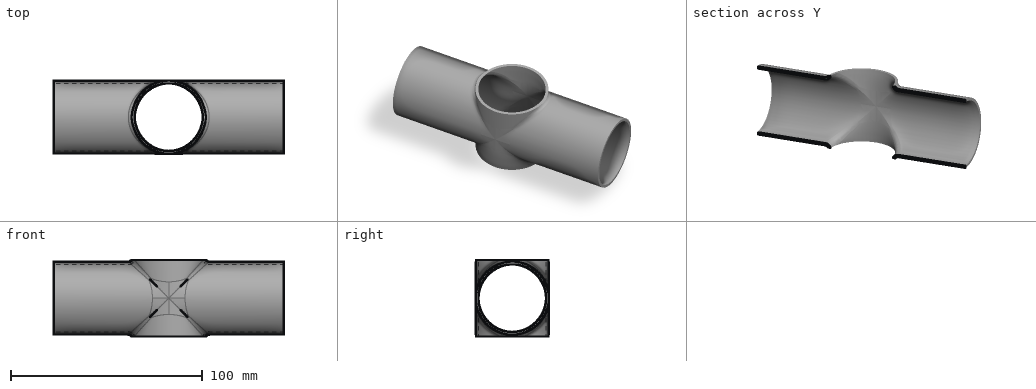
import math

import cadquery as cq

RUN_LENGTH = 120.0
BRANCH_LENGTH = 40.0
OUTER_DIAMETER = 38.1
BORE_DIAMETER = 35.1
OUTER_FILLET = 2.0
BULGE_HEIGHT = 0.115
PATCH_HALF_WIDTH = 8.5
PATCH_CORNER = 10.25

WALL = (OUTER_DIAMETER - BORE_DIAMETER) / 2
BORE_FILLET = OUTER_FILLET + WALL
FILLET_RUN_IN = 0.9
PATCH_DEPTH = 6.0
BLANK_LENGTH = 60.0


def plain_cross(radius):
    """Two solid cylinders of equal radius crossing at the origin, along X and Z."""
    run = cq.Workplane("YZ").circle(radius).extrude(RUN_LENGTH / 2, both=True)
    branch = cq.Workplane("XY").circle(radius).extrude(BLANK_LENGTH / 2, both=True)
    return run.union(branch)


def corner_ball(radius, fillet):
    """Centre of the fillet's rolling ball at a corner of the side patch."""
    height = math.sqrt((radius + fillet) ** 2 - PATCH_CORNER**2)
    return cq.Vector(PATCH_CORNER, height, PATCH_CORNER)


def filleted_cross(radius, fillet):
    """The crossing cylinders, cut flat on both sides, with the four crotches filleted."""
    contact_y = corner_ball(radius, fillet).y * radius / (radius + fillet)
    half_width = contact_y + FILLET_RUN_IN
    slab = cq.Workplane("XY").box(2 * RUN_LENGTH, 2 * half_width, 2 * BLANK_LENGTH)
    return plain_cross(radius).intersect(slab).edges("%ELLIPSE").fillet(fillet)


def run_edge_arc(radius, start, end):
    """Elliptical arc on the run cylinder, in the plane that leans from start to end.

    start is on the crest of the cylinder, where Z is zero."""
    lean = cq.Vector(start.x - end.x, start.y - end.y, 0).normalized()
    half_axis = radius / lean.y
    centre = start - lean * half_axis
    normal = lean.cross(cq.Vector(0, 0, 1))
    sweep = math.degrees(math.asin(end.z / radius))
    return cq.Edge.makeEllipse(half_axis, radius, centre, normal, lean, 0, sweep)


def patch_sector(radius, fillet):
    """One eighth of a +Y side patch (X > Z > 0) on its supporting block."""
    ball = corner_ball(radius, fillet)
    to_run = cq.Vector(0, ball.y, ball.z).normalized()
    to_middle = cq.Vector(ball.x / 2, ball.y, ball.z / 2).normalized()
    to_quarter = (to_run + to_middle).normalized()
    run_contact = ball - to_run * fillet
    fillet_middle = ball - to_middle * fillet

    peak = cq.Vector(0, radius + BULGE_HEIGHT, 0)
    crest = cq.Vector(PATCH_HALF_WIDTH, radius, 0)
    along_x = cq.Vector(1, 0, 0)
    diagonal = cq.Vector(1, 0, 1)
    down_fillet = cq.Vector(ball.y, -ball.x, ball.y)

    outline = [
        cq.Edge.makeSpline([peak, crest], tangents=[along_x, along_x]),
        run_edge_arc(radius, crest, run_contact),
        cq.Edge.makeThreePointArc(run_contact, ball - to_quarter * fillet, fillet_middle),
        cq.Edge.makeSpline([peak, fillet_middle], tangents=[diagonal, down_fillet]),
    ]
    edge_middle = outline[1].positionAt(0.5)
    diagonal_middle = outline[3].positionAt(0.5)
    inner_point = (edge_middle + diagonal_middle) * 0.5
    face = cq.Face.makeNSidedSurface(outline, [inner_point])
    return cq.Workplane(cq.Solid.extrudeLinear(face, cq.Vector(0, -PATCH_DEPTH, 0)))


def with_mirror_image(half, plane):
    """The half joined to its reflection in a plane through the origin."""
    return half.union(half.mirror(plane), clean=False, glue=True)


def side_patch(radius, fillet):
    """The eight-sector block that smooths the +Y place where the crotches meet."""
    patch = patch_sector(radius, fillet)
    for symmetry_plane in (cq.Vector(1, 0, -1), "YZ", "XY"):
        patch = with_mirror_image(patch, symmetry_plane)
    return patch


def smooth_cross(radius, fillet):
    """Solid crossing with filleted crotches and a smooth patch on each side."""
    body = plain_cross(radius).union(filleted_cross(radius, fillet))
    patch = side_patch(radius, fillet)
    clearance = patch.union(patch.translate((0, PATCH_DEPTH / 2, 0)), clean=False)
    body = body.cut(clearance).cut(clearance.mirror("XZ"))
    body = body.union(patch, clean=False, glue=True)
    return body.union(patch.mirror("XZ"), clean=False, glue=True)


outside = smooth_cross(OUTER_DIAMETER / 2, OUTER_FILLET)
bore = smooth_cross(BORE_DIAMETER / 2, BORE_FILLET)
trim = cq.Workplane("XY").box(RUN_LENGTH, 2 * OUTER_DIAMETER, BRANCH_LENGTH)
fitting = outside.intersect(trim, clean=False).cut(bore, clean=False)
result = cq.Workplane(fitting.solids().val())